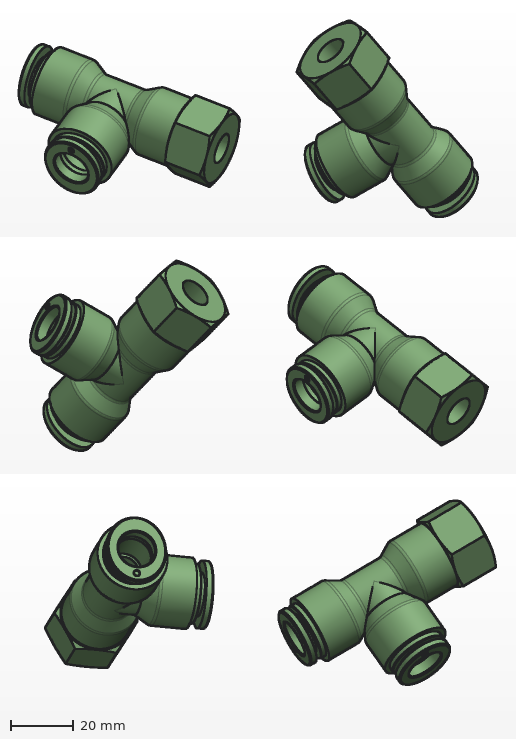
import cadquery as cq
import math


OVERALL_LENGTH = 69.3
ARM_REACH = 30.6
NUT_END = OVERALL_LENGTH - ARM_REACH

SOCKET_DIAMETER = 23.2
WAIST_DIAMETER = 17.3
SOCKET_END = 24.6
WAIST_END = 7.6
CONE_ANGLE = 30.0
BLEND_RADIUS = 2.0
BORE_DIAMETER = 10.0
TUBE_DIAMETER = 12.2
TUBE_STOP = 12.5
CONE_RISE = (SOCKET_DIAMETER - WAIST_DIAMETER) / 2
CONE_END = WAIST_END + CONE_RISE / math.tan(math.radians(CONE_ANGLE))

COLLAR_DIAMETER = 19.6
COLLAR_END = 26.55
COLLAR_CHAMFER = 0.2

STEM_DIAMETER = 14.2
FLANGE_LONG_DIAMETER = 22.45
FLANGE_SHORT_DIAMETER = COLLAR_DIAMETER
FLANGE_START = 28.3
FLANGE_CHAMFER = 0.4
MOUTH_CHAMFER = 0.35
DOT_DIAMETER = 2.0
DOT_OFFSET = 8.45
DOT_DEPTH = 0.5

NUT_ACROSS_FLATS = 24.0
NUT_ACROSS_CORNERS = NUT_ACROSS_FLATS / math.cos(math.radians(30))
NUT_FACE_DIAMETER = 23.9
NUT_CHAMFER_LENGTH = 0.75

RUN_PLANE = "YZ"
BRANCH_PLANE = "XZ"


def rod(plane, diameter, start, end):
    """Cylinder along the normal of a plane through the origin."""
    return cq.Workplane(plane).workplane(offset=start).circle(diameter / 2).extrude(end - start)


def blend_step(body, distance):
    """Round the circular edge of an X-aligned arm at a distance from the tee centre."""
    edge_centre = (distance, 0, 0)
    return body.edges(cq.selectors.NearestToPointSelector(edge_centre)).fillet(BLEND_RADIUS)


def arm():
    """Solid arm pointing to +X: waist, cone and socket, the cone blended into the socket."""
    waist_radius = WAIST_DIAMETER / 2
    socket_radius = SOCKET_DIAMETER / 2
    sharp_arm = (
        cq.Workplane("XY")
        .moveTo(0, 0)
        .lineTo(0, waist_radius)
        .lineTo(WAIST_END, waist_radius)
        .lineTo(CONE_END, socket_radius)
        .lineTo(SOCKET_END, socket_radius)
        .lineTo(SOCKET_END, 0)
        .close()
        .revolve(360, (0, 0, 0), (1, 0, 0))
    )
    return blend_step(sharp_arm, CONE_END)


def make_housing():
    """Tee of three arms, the waist blended on the run only, with bores and tube sockets."""
    branch_arm = arm().rotate((0, 0, 0), (0, 0, 1), -90)
    right_arm = blend_step(arm(), WAIST_END)
    left_arm = right_arm.rotate((0, 0, 0), (0, 0, 1), 180)
    housing = right_arm.union(left_arm).union(branch_arm)
    housing = housing.cut(rod(RUN_PLANE, BORE_DIAMETER, -SOCKET_END, SOCKET_END))
    housing = housing.cut(rod(BRANCH_PLANE, BORE_DIAMETER, 0, SOCKET_END))
    for plane, side in ((RUN_PLANE, -1), (BRANCH_PLANE, 1)):
        housing = housing.cut(rod(plane, TUBE_DIAMETER, side * TUBE_STOP, side * SOCKET_END))
    return housing


def make_collar():
    """Ring between the end face of the branch and the button stem, with the tube hole through it."""
    return (
        rod(BRANCH_PLANE, COLLAR_DIAMETER, SOCKET_END, COLLAR_END)
        .faces("<Y")
        .chamfer(COLLAR_CHAMFER)
        .cut(rod(BRANCH_PLANE, TUBE_DIAMETER, SOCKET_END, COLLAR_END))
    )


def make_button():
    """Release button of the branch: round stem on the collar, elliptical flange, tube hole and dot."""
    flange = (
        cq.Workplane(BRANCH_PLANE)
        .workplane(offset=FLANGE_START)
        .ellipse(FLANGE_SHORT_DIAMETER / 2, FLANGE_LONG_DIAMETER / 2)
        .extrude(ARM_REACH - FLANGE_START)
        .faces("<Y")
        .chamfer(FLANGE_CHAMFER)
    )
    dot = (
        rod(BRANCH_PLANE, DOT_DIAMETER, ARM_REACH - DOT_DEPTH, ARM_REACH)
        .translate((0, 0, DOT_OFFSET))
    )
    return (
        rod(BRANCH_PLANE, STEM_DIAMETER, COLLAR_END, FLANGE_START)
        .union(flange)
        .cut(rod(BRANCH_PLANE, TUBE_DIAMETER, COLLAR_END, ARM_REACH))
        .faces("<Y")
        .edges("%CIRCLE")
        .chamfer(MOUTH_CHAMFER)
        .cut(dot)
    )


def make_nut():
    """Hexagon on the +X end, corners pointing to +Y and -Y, both ends chamfered."""
    face_radius = NUT_FACE_DIAMETER / 2
    corner_radius = NUT_ACROSS_CORNERS / 2
    chamfered_blank = (
        cq.Workplane("XY")
        .moveTo(SOCKET_END, 0)
        .lineTo(SOCKET_END, face_radius)
        .lineTo(SOCKET_END + NUT_CHAMFER_LENGTH, corner_radius)
        .lineTo(NUT_END - NUT_CHAMFER_LENGTH, corner_radius)
        .lineTo(NUT_END, face_radius)
        .lineTo(NUT_END, 0)
        .close()
        .revolve(360, (0, 0, 0), (1, 0, 0))
    )
    return (
        cq.Workplane(RUN_PLANE)
        .workplane(offset=SOCKET_END)
        .polygon(6, NUT_ACROSS_CORNERS)
        .extrude(NUT_END - SOCKET_END)
        .intersect(chamfered_blank)
        .cut(rod(RUN_PLANE, BORE_DIAMETER, SOCKET_END, NUT_END))
    )


def to_left_arm(body):
    """Turn a branch body onto the -X arm, its +Z side facing -Z."""
    return body.rotate((0, 0, 0), (0, 0, 1), -90).rotate((0, 0, 0), (1, 0, 0), 180)


housing = make_housing()
nut = make_nut()
cartridge_bodies = []
for make_body in (make_collar, make_button):
    branch_body = make_body()
    cartridge_bodies.append(branch_body.val())
    cartridge_bodies.append(to_left_arm(branch_body).val())

result = cq.Compound.makeCompound([housing.val(), nut.val(), *cartridge_bodies])